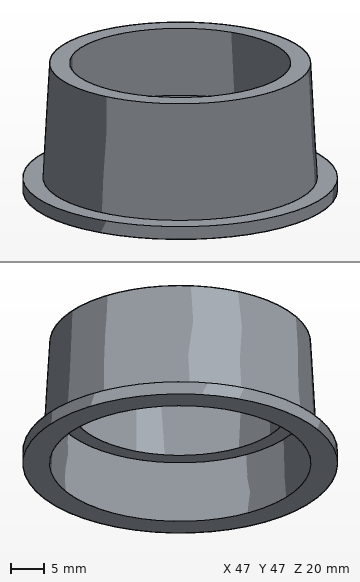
import cadquery as cq

flange_diameter = 47.0
total_height = 20.0
flange_thickness = 2.0

sleeve_base_diameter = 41.0
sleeve_top_diameter = 39.0

bore_diameter = 33.0
socket_mouth_diameter = 39.0
socket_end_diameter = 38.0
socket_depth = 9.5

half_section = [
    (socket_mouth_diameter / 2, 0),
    (flange_diameter / 2, 0),
    (flange_diameter / 2, flange_thickness),
    (sleeve_base_diameter / 2, flange_thickness),
    (sleeve_top_diameter / 2, total_height),
    (bore_diameter / 2, total_height),
    (bore_diameter / 2, socket_depth),
    (socket_end_diameter / 2, socket_depth),
]

result = cq.Workplane("XZ").polyline(half_section).close().revolve(360, (0, 0, 0), (0, 1, 0))